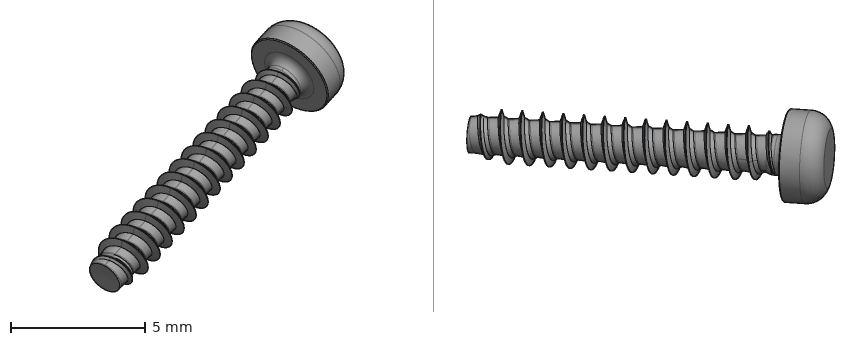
import cadquery as cq
import math


head_radius = 1.75
head_height = 1.6
head_wall_height = 0.8
dome_radius = 0.82
rim_chamfer = 0.04

shank_length = 12.0
collar_radius = 0.765
neck_fillet = 0.35
collar_end_depth = 0.5
core_radius = 0.685
core_start_depth = 0.75
tip_dimple_depth = 0.06

pitch = 0.78
crest_radius = 1.015
first_turn_depth = 0.685
full_turn_count = 13
run_in_turns = 0.75
first_full_depth = first_turn_depth + run_in_turns * pitch
last_full_depth = first_turn_depth + full_turn_count * pitch
thread_start_depth = 0.4
thread_end_depth = 11.86
run_in_crest_radius = 0.79
crest_half_width = 0.015
flank_half_width = 0.11
head_flank_radius = 0.77
tip_flank_radius = 0.72
taper_end_offset = 0.5
flare_start_offset = -0.275
flank_burial = 0.004
floor_radius = 0.62
floor_tip_offset = 0.4
floor_head_offset = -0.2
tip_margin = 0.02
points_per_turn = 16

thread_section = [
    (floor_head_offset, floor_radius),
    (flare_start_offset, core_radius - flank_burial),
    (-flank_half_width, head_flank_radius),
    (-crest_half_width, crest_radius),
    (crest_half_width, crest_radius),
    (flank_half_width, tip_flank_radius),
    (taper_end_offset, core_radius - flank_burial),
    (floor_tip_offset, floor_radius),
]


def make_body():
    """Head, neck, collar and plain core as one revolved outline of (radius, y)."""
    dome_rise = head_height - head_wall_height
    dome_centre_radius = head_radius - dome_radius
    crown_radius = dome_centre_radius + math.sqrt(dome_radius**2 - dome_rise**2)
    crown_angle = math.asin(dome_rise / dome_radius)
    dome_middle = (
        dome_centre_radius + dome_radius * math.cos(crown_angle / 2),
        head_wall_height + dome_radius * math.sin(crown_angle / 2),
    )
    neck_radius = collar_radius + neck_fillet
    neck_middle = (
        neck_radius - neck_fillet * math.cos(math.pi / 4),
        -neck_fillet + neck_fillet * math.sin(math.pi / 4),
    )
    return (
        cq.Workplane("ZY")
        .moveTo(0, head_height)
        .lineTo(crown_radius, head_height)
        .threePointArc(dome_middle, (head_radius, head_wall_height))
        .lineTo(head_radius, rim_chamfer)
        .lineTo(head_radius - rim_chamfer, 0)
        .lineTo(neck_radius, 0)
        .threePointArc(neck_middle, (collar_radius, -neck_fillet))
        .lineTo(collar_radius, -collar_end_depth)
        .lineTo(core_radius, -core_start_depth)
        .lineTo(core_radius, -shank_length)
        .lineTo(0, tip_dimple_depth - shank_length)
        .close()
        .revolve(360, (0, 0, 0), (0, 1, 0))
    )


def blade_fraction(depth):
    """Height of the blade at a crest depth: 1 on the full thread, less at its two ends."""
    if depth < first_full_depth:
        start_fraction = (run_in_crest_radius - tip_flank_radius) / (crest_radius - tip_flank_radius)
        progress = (depth - thread_start_depth) / (first_full_depth - thread_start_depth)
        return start_fraction + (1 - start_fraction) * progress
    if depth > last_full_depth:
        return (thread_end_depth - depth) / (thread_end_depth - last_full_depth)
    return 1.0


def thread_point(depth, offset, radius):
    """Point of the right-hand thread for one corner of its section."""
    angle = math.pi / 2 + 2 * math.pi * (depth - first_turn_depth) / pitch
    if radius > tip_flank_radius:
        radius = tip_flank_radius + (radius - tip_flank_radius) * blade_fraction(depth)
    y = -min(depth + offset, shank_length - tip_margin)
    return cq.Vector(radius * math.cos(angle), y, radius * math.sin(angle))


def corner_paths(start_depth, end_depth):
    """Helical path of every section corner between two crest depths."""
    steps = math.ceil((end_depth - start_depth) / pitch * points_per_turn)
    depths = [start_depth + (end_depth - start_depth) * i / steps for i in range(steps + 1)]
    return [
        [thread_point(depth, offset, radius) for depth in depths]
        for offset, radius in thread_section
    ]


def helical_faces(paths):
    """Ruled faces joining neighbouring corner paths all round the section."""
    last = len(paths[0]) - 1
    parameters = [i / last for i in range(last + 1)]
    edges = [cq.Edge.makeSpline(path, parameters=parameters) for path in paths]
    next_edges = edges[1:] + edges[:1]
    return [cq.Face.makeRuledSurface(edge, other) for edge, other in zip(edges, next_edges)]


def end_cap(paths, end):
    """Flat face closing the section at one end of the paths."""
    return cq.Face.makeFromWires(cq.Wire.makePolygon([path[end] for path in paths], close=True))


def make_thread():
    """Thread solid built turn by turn, with further joints where the run-in and run-out meet it."""
    joints = [first_turn_depth + turn * pitch for turn in range(full_turn_count + 2)]
    joints = sorted(joints + [thread_start_depth, first_full_depth, thread_end_depth])
    pieces = [corner_paths(start, end) for start, end in zip(joints, joints[1:])]
    faces = [end_cap(pieces[0], 0), end_cap(pieces[-1], -1)]
    for paths in pieces:
        faces += helical_faces(paths)
    return cq.Solid.makeSolid(cq.Shell.makeShell(faces))


screw = make_body().union(cq.Workplane(obj=make_thread()))
result = cq.Workplane(obj=screw.solids().val())